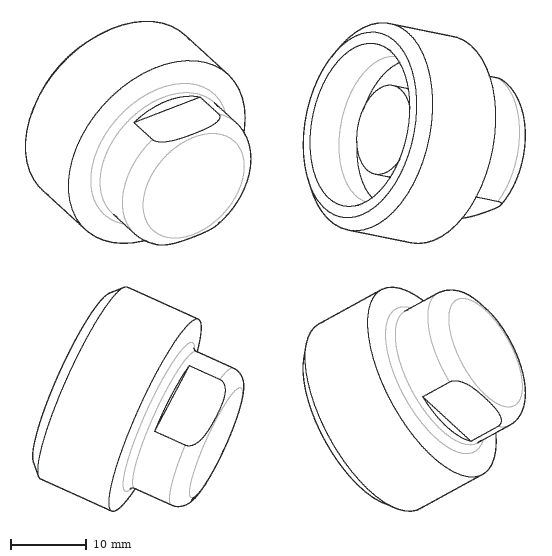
import cadquery as cq
import math

total_length = 21.0
body_radius = 14.0
body_length = 12.0
mouth_chamfer = 1.5
shoulder_angle = math.radians(10)
neck_radius = 20.0 / 2
root_fillet = 1.0
end_round = 2.0

mouth_radius = 10.98
bore_radius = 19.8 / 2
taper_depth = 4.0
socket_depth = 7.0
post_radius = 12.0 / 2
post_face_depth = 4.0

flat_start = 14.5
across_flats = 17.02


def outer_body():
    """Solid of revolution with a sloped shoulder blended into the neck."""
    fillet_center_radius = neck_radius + root_fillet
    blend_start_radius = fillet_center_radius - root_fillet * math.sin(shoulder_angle)
    blend_start_x = body_length + (body_radius - blend_start_radius) * math.tan(shoulder_angle)
    fillet_center_x = blend_start_x + root_fillet * math.cos(shoulder_angle)
    mid_angle = (math.pi / 2 + shoulder_angle) / 2
    blend_middle = (
        fillet_center_x - root_fillet * math.cos(mid_angle),
        fillet_center_radius - root_fillet * math.sin(mid_angle),
    )
    round_start_x = total_length - end_round
    round_middle = (
        round_start_x + end_round * math.sin(math.pi / 4),
        neck_radius - end_round * (1 - math.cos(math.pi / 4)),
    )
    return (
        cq.Workplane("XY")
        .lineTo(0, body_radius - mouth_chamfer)
        .lineTo(mouth_chamfer, body_radius)
        .lineTo(body_length, body_radius)
        .lineTo(blend_start_x, blend_start_radius)
        .threePointArc(blend_middle, (fillet_center_x, neck_radius))
        .lineTo(round_start_x, neck_radius)
        .threePointArc(round_middle, (total_length, neck_radius - end_round))
        .lineTo(total_length, 0)
        .close()
        .revolve(360, (0, 0, 0), (1, 0, 0))
    )


def socket():
    """Cavity with a tapered mouth, leaving the post standing."""
    return (
        cq.Workplane("XY")
        .lineTo(0, mouth_radius)
        .lineTo(taper_depth, bore_radius)
        .lineTo(socket_depth, bore_radius)
        .lineTo(socket_depth, post_radius)
        .lineTo(post_face_depth, post_radius)
        .lineTo(post_face_depth, 0)
        .close()
        .revolve(360, (0, 0, 0), (1, 0, 0))
    )


def flat_cutter(side):
    """Block removing the neck beyond one flat; side is +1 or -1 along Z."""
    block_height = body_radius
    return cq.Workplane("XY").box(
        total_length - flat_start, 2 * body_radius, block_height, centered=(False, True, True)
    ).translate((flat_start, 0, side * (across_flats + block_height) / 2))


result = outer_body().cut(socket())
for side in (1, -1):
    result = result.cut(flat_cutter(side))